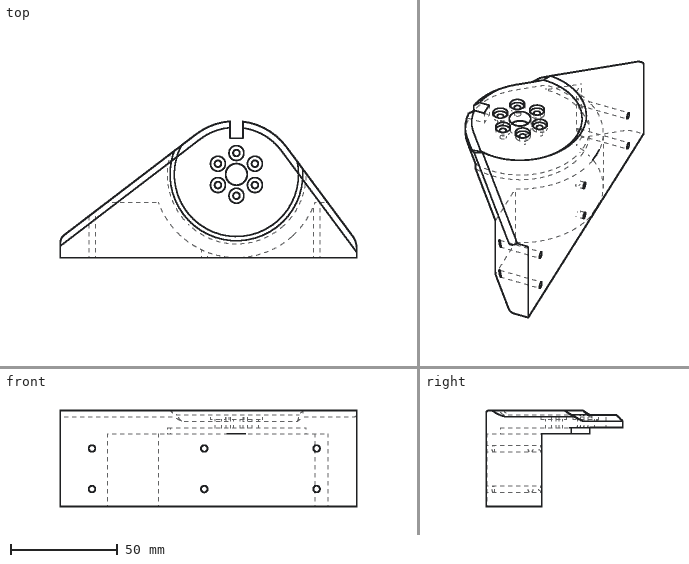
import cadquery as cq
import math

width = 138.94
height = 45.0

left_corner_y = 9.3
right_corner_y = 7.6
apex_x = 81.9
apex_y = 34.12
apex_radius = 30.0
left_corner_radius = 5.0
right_corner_radius = 10.0
leg_chamfer = 3.0
front_edge_fillet = 1.0

wall_depth = 26.1
shelf_thickness = 11.0
shelf_bottom = height - shelf_thickness

seat_x = 82.55
seat_y = 39.1
seat_depth = 2.0
seat_z = height - seat_depth
seat_floor_radius = 29.1
seat_rim_radius = seat_floor_radius + seat_depth
seat_plate_thickness = 6.0
seat_plate_bottom = seat_z - seat_plate_thickness
recess_radius = 32.5
clearance_radius = 38.9

bore_diameter = 10.0
bolt_count = 6
bolt_circle_radius = 10.0
bolt_diameter = 3.0
counterbore_diameter = 7.0
counterbore_depth = 2.0

notch_width = 6.0
notch_offset = 17.0
notch_bottom_y = seat_y + notch_offset

wall_hole_diameter = 3.0
wall_hole_middle_x = 67.5
wall_hole_pitch_x = 52.6
wall_hole_rows_z = (8.2, 27.2)


def tangent_point(x, y, side):
    """Point where the line from (x, y) touches the apex circle; side is +1 or -1."""
    distance = math.hypot(x - apex_x, y - apex_y)
    toward_start = math.atan2(y - apex_y, x - apex_x)
    angle = toward_start + side * math.acos(apex_radius / distance)
    return apex_x + apex_radius * math.cos(angle), apex_y + apex_radius * math.sin(angle)


left_tangent = tangent_point(0, left_corner_y, -1)
right_tangent = tangent_point(width, right_corner_y, 1)


def sharp_prism(top):
    """Plan outline with sharp end corners, extruded from Z = 0."""
    return (
        cq.Workplane("XY")
        .lineTo(width, 0)
        .lineTo(width, right_corner_y)
        .lineTo(*right_tangent)
        .threePointArc((apex_x, apex_y + apex_radius), left_tangent)
        .lineTo(0, left_corner_y)
        .close()
        .extrude(top)
    )


def chamfered_prism(top):
    """Sharp prism with its top edge chamfered along both legs and the apex arc."""
    return sharp_prism(top).faces(">Z").edges("not(|X or |Y)").chamfer(leg_chamfer)


def cylinder(x, y, diameter, bottom, top):
    return cq.Workplane("XY", origin=(x, y, bottom)).circle(diameter / 2).extrude(top - bottom)


def make_body():
    """Chamfered block; the end corners are rounded straight through the chamfer."""
    rounded = sharp_prism(height)
    corners = (
        (0, left_corner_y, left_corner_radius),
        (width, right_corner_y, right_corner_radius),
    )
    for x, y, radius in corners:
        rounded = rounded.edges(cq.NearestToPointSelector((x, y, height / 2))).fillet(radius)
    body = chamfered_prism(height).intersect(rounded)
    return body.faces("<Y").edges(">Z").fillet(front_edge_fillet)


def seat_cone():
    """45 degree cone frustum from the seat floor radius to the rim radius."""
    floor_center = cq.Vector(seat_x, seat_y, seat_z)
    return cq.Solid.makeCone(seat_floor_radius, seat_rim_radius, seat_depth, pnt=floor_center)


def leg_frustum(tangent_x, tangent_y):
    """Seat wall carried down a leg chamfer: a frustum sheared to follow the chamfer slope."""
    normal_x = (tangent_x - apex_x) / apex_radius
    normal_y = (tangent_y - apex_y) / apex_radius
    leg_distance = (tangent_x - seat_x) * normal_x + (tangent_y - seat_y) * normal_y
    axis_z = seat_z - leg_chamfer + leg_distance
    slope_normal = cq.Vector(normal_x, normal_y, 1)
    leg_direction = cq.Vector(-normal_y, normal_x, 0)
    downhill = leg_direction.cross(slope_normal)
    stretch = math.sqrt(2)
    ellipses = [
        cq.Wire.makeEllipse(stretch * radius, radius, cq.Vector(seat_x, seat_y, z), slope_normal, downhill)
        for radius, z in ((seat_floor_radius, axis_z), (seat_rim_radius, axis_z + seat_depth))
    ]
    return cq.Solid.makeLoft(ellipses, True)


def cut_seat(body):
    """Sink the seat and carry the edge chamfer down around its floor."""
    seat_edge = cylinder(seat_x, seat_y, 2 * seat_floor_radius, 0, height).cut(chamfered_prism(seat_z))
    body = body.cut(seat_edge).cut(cq.Workplane(seat_cone()))
    for tangent in (left_tangent, right_tangent):
        body = body.cut(cq.Workplane(leg_frustum(*tangent)))
    return body


def cut_underside(body):
    """Clear the space under the shelf, behind the wall and below the seat."""
    space_depth = apex_y + apex_radius - wall_depth
    behind_wall = cq.Workplane("XY", origin=(0, wall_depth, 0))
    behind_wall = behind_wall.rect(width, space_depth, centered=False)
    body = body.cut(behind_wall.extrude(shelf_bottom))
    body = body.cut(cylinder(seat_x, seat_y, 2 * clearance_radius, 0, shelf_bottom))
    return body.cut(cylinder(seat_x, seat_y, 2 * recess_radius, shelf_bottom, seat_plate_bottom))


def cut_seat_holes(body):
    body = body.cut(cylinder(seat_x, seat_y, bore_diameter, 0, height))
    for index in range(bolt_count):
        angle = math.radians(90 + index * 360 / bolt_count)
        x = seat_x + bolt_circle_radius * math.cos(angle)
        y = seat_y + bolt_circle_radius * math.sin(angle)
        body = body.cut(cylinder(x, y, bolt_diameter, 0, height))
        body = body.cut(cylinder(x, y, counterbore_diameter, seat_z - counterbore_depth, height))
    return body


def cut_notch(body):
    notch = cq.Workplane("XY", origin=(seat_x - notch_width / 2, notch_bottom_y, 0))
    return body.cut(notch.rect(notch_width, apex_radius, centered=False).extrude(height))


def cut_wall_holes(body):
    points = [
        (wall_hole_middle_x + column * wall_hole_pitch_x, z)
        for column in (-1, 0, 1)
        for z in wall_hole_rows_z
    ]
    holes = cq.Workplane("XZ").pushPoints(points).circle(wall_hole_diameter / 2).extrude(-wall_depth)
    return body.cut(holes)


result = make_body()
result = cut_seat(result)
result = cut_underside(result)
result = cut_seat_holes(result)
result = cut_notch(result)
result = cut_wall_holes(result)